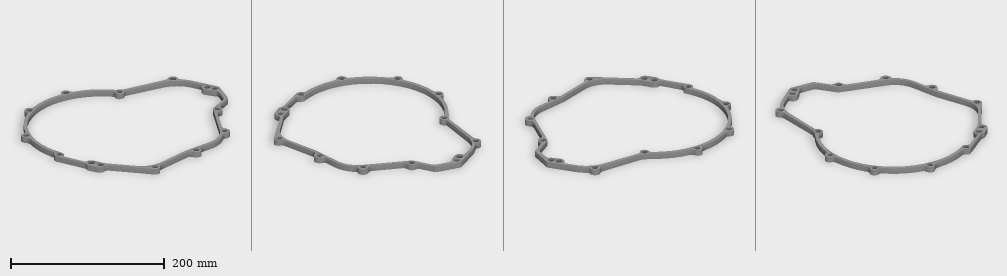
import math

import cadquery as cq


THICKNESS = 8.0

RING_CENTER = (-27.4, -21.65)
RING_INNER_RADIUS = 97.3
RING_OUTER_RADIUS = 102.1
RING_HOLLOW_RADIUS = 4.7
WIDE_RING_HOLLOW_RADIUS = 9.0

LEFT = (-130.1, -12.85)
LOWER_LEFT = (-110.8, -83.05)
BOTTOM_LEFT = (-52.2, -121.65)
BOTTOM_PAIR_A = (-4.8, -131.15)
BOTTOM_PAIR_B = (8.4, -132.65)
BOTTOM_RIGHT = (77.9, -115.75)
LOWER_RIGHT = (112.5, -51.55)
RIGHT = (129.6, 12.35)
UPPER_RIGHT = (100.5, 69.85)
TOP_PAIR_B = (77.8, 124.65)
TOP_PAIR_A = (67.2, 125.45)
TOP = (17.3, 133.75)
VALLEY = (-36.5, 76.05)
UPPER_LEFT = (-101.6, 50.65)

BOSS_RADIUS = 6.5
TOP_BOSS_RADIUS = 6.75
RIGHT_BOSS_RADIUS = 6.95
VALLEY_BOSS_RADIUS = 6.3
INNER_BOSS_RADIUS = 6.0

HOLES = {
    8.0: [
        LEFT, LOWER_LEFT, BOTTOM_LEFT, BOTTOM_PAIR_B, BOTTOM_RIGHT,
        LOWER_RIGHT, UPPER_RIGHT, TOP_PAIR_B, VALLEY, UPPER_LEFT,
    ],
    7.2: [RIGHT],
    8.5: [TOP],
    8.8: [TOP_PAIR_A, BOTTOM_PAIR_A],
}


def hollow(boss, boss_radius, angle, radius):
    """Centre of a hollow of the given radius that touches a boss at an angle in degrees."""
    reach = boss_radius + radius
    direction = math.radians(angle)
    return (boss[0] + reach * math.cos(direction), boss[1] + reach * math.sin(direction))


def touching_both(reach_ring, boss, reach_boss, side):
    """Point at set distances from the ring centre and a boss; side +1 is counterclockwise of the boss."""
    dx = boss[0] - RING_CENTER[0]
    dy = boss[1] - RING_CENTER[1]
    span = math.hypot(dx, dy)
    along = (reach_ring**2 - reach_boss**2 + span**2) / (2 * span)
    across = side * math.sqrt(reach_ring**2 - along**2)
    return (
        RING_CENTER[0] + (along * dx - across * dy) / span,
        RING_CENTER[1] + (along * dy + across * dx) / span,
    )


def ring_hollow(boss, boss_radius, side, radius=RING_HOLLOW_RADIUS):
    """Outer-edge arc that blends the ring into a boss."""
    center = touching_both(RING_OUTER_RADIUS + radius, boss, boss_radius + radius, side)
    return (center, -radius)


def outer_hollow(boss, boss_radius, angle, radius):
    """Outer-edge arc that blends a boss into a straight stretch."""
    return (hollow(boss, boss_radius, angle, radius), -radius)


def inner_hollow(boss, boss_radius, angle, radius):
    """Inner-edge arc that blends a boss into a straight stretch."""
    return (hollow(boss, boss_radius, angle, radius), radius)


def tangent_angle(arc, following):
    """Heading of the straight tangent that leaves one arc and enters the following one."""
    (x0, y0), r0 = arc
    (x1, y1), r1 = following
    offset = (r1 - r0) / math.hypot(x1 - x0, y1 - y0)
    return math.atan2(y1 - y0, x1 - x0) - math.asin(max(-1.0, min(1.0, offset)))


def point_on_arc(arc, heading):
    """Point of an arc where the edge runs along the given heading."""
    (x, y), radius = arc
    return (x + radius * math.sin(heading), y - radius * math.cos(heading))


def plate(arcs):
    """Solid plate bounded by a closed chain of arcs and their common tangents."""
    headings = [tangent_angle(arc, arcs[(i + 1) % len(arcs)]) for i, arc in enumerate(arcs)]
    start = point_on_arc(arcs[0], headings[-1])
    shortest_line = 0.01
    edge = cq.Workplane("XY").moveTo(*start)
    here = start
    for i, arc in enumerate(arcs):
        turn_sign = math.copysign(1.0, arc[1])
        turn = turn_sign * ((turn_sign * (headings[i] - headings[i - 1])) % math.tau)
        entry = point_on_arc(arc, headings[i - 1])
        if math.dist(here, entry) > shortest_line:
            edge = edge.lineTo(*entry)
        here = point_on_arc(arc, headings[i])
        edge = edge.threePointArc(point_on_arc(arc, headings[i - 1] + turn / 2), here)
    return edge.close().extrude(THICKNESS)


def outer_edge():
    right_bend = ((89.5, -5.05), 42.2)
    upper_right_corner = ((100.6, 102.65), 3.2)
    top_right_corner = ((80.3, 128.95), 2.5)
    top_bend = ((38.1, 97.15), 39.6)

    ring = (RING_CENTER, RING_OUTER_RADIUS)
    arcs = []
    for boss, leaving_radius in (
        (UPPER_LEFT, RING_HOLLOW_RADIUS),
        (LEFT, RING_HOLLOW_RADIUS),
        (LOWER_LEFT, WIDE_RING_HOLLOW_RADIUS),
    ):
        arcs += [
            ring,
            ring_hollow(boss, BOSS_RADIUS, -1),
            (boss, BOSS_RADIUS),
            ring_hollow(boss, BOSS_RADIUS, 1, leaving_radius),
        ]
    arcs += [ring, ring_hollow(BOTTOM_LEFT, BOSS_RADIUS, -1), (BOTTOM_LEFT, BOSS_RADIUS)]

    pad_left = (-6.3, -136.4)
    pad_left_radius = 2.6
    pad_right = (8.0, -133.95)
    pad_right_radius = 6.6
    arcs += [
        outer_hollow(pad_left, pad_left_radius, 213, 6.9),
        (pad_left, pad_left_radius),
        (pad_right, pad_right_radius),
        outer_hollow(pad_right, pad_right_radius, -10.5, 5.7),
    ]

    arcs += [
        (BOTTOM_RIGHT, BOSS_RADIUS),
        outer_hollow(BOTTOM_RIGHT, BOSS_RADIUS, 32.5, 6.5),
        outer_hollow(LOWER_RIGHT, RIGHT_BOSS_RADIUS, 255.4, 6.1),
        (LOWER_RIGHT, RIGHT_BOSS_RADIUS),
        outer_hollow(LOWER_RIGHT, RIGHT_BOSS_RADIUS, 44.5, 5.1),
        right_bend,
        outer_hollow(RIGHT, RIGHT_BOSS_RADIUS, -62.4, 4.0),
        (RIGHT, RIGHT_BOSS_RADIUS),
        outer_hollow(RIGHT, RIGHT_BOSS_RADIUS, 95.7, 6.5),
        outer_hollow(UPPER_RIGHT, BOSS_RADIUS, -40.9, 7.1),
        (UPPER_RIGHT, BOSS_RADIUS),
        outer_hollow(UPPER_RIGHT, BOSS_RADIUS, 60.2, 6.3),
    ]

    arcs += [
        upper_right_corner,
        top_right_corner,
        top_bend,
        outer_hollow(TOP, TOP_BOSS_RADIUS, 25.7, 1.7),
        (TOP, TOP_BOSS_RADIUS),
        outer_hollow(TOP, TOP_BOSS_RADIUS, 186.5, 6.9),
        outer_hollow(VALLEY, VALLEY_BOSS_RADIUS, 95.9, 6.4),
        (VALLEY, VALLEY_BOSS_RADIUS),
        ring_hollow(VALLEY, VALLEY_BOSS_RADIUS, 1),
    ]
    return arcs


def inner_edge():
    bottom_bend = ((11.8, -104.25), 22.5)
    bottom_right_bend = ((49.1, -86.45), 34.8)
    lower_right_kink = ((103.1, -61.65), -3.9)
    right_bend = ((90.7, -5.25), 36.7)
    upper_right_corner = ((91.0, 98.35), 7.8)
    top_bend = ((37.5, 91.55), 40.7)

    bottom_pair_radius = 6.9
    arcs = [
        (RING_CENTER, RING_INNER_RADIUS),
        (BOTTOM_LEFT, -INNER_BOSS_RADIUS),
        inner_hollow(BOTTOM_LEFT, INNER_BOSS_RADIUS, 2, 4.3),
        inner_hollow(BOTTOM_PAIR_A, bottom_pair_radius, 157.5, 3.7),
        (BOTTOM_PAIR_A, -bottom_pair_radius),
        bottom_bend,
    ]

    arcs += [
        bottom_right_bend,
        lower_right_kink,
        right_bend,
        (UPPER_RIGHT, -INNER_BOSS_RADIUS),
        upper_right_corner,
    ]

    top_pair_b_radius = 6.8
    top_pair_a_radius = 7.3
    ring_blend_radius = 3.3
    ring_blend_center = touching_both(
        RING_INNER_RADIUS - ring_blend_radius, VALLEY, VALLEY_BOSS_RADIUS + ring_blend_radius, 1
    )
    arcs += [
        inner_hollow(TOP_PAIR_B, top_pair_b_radius, -65.7, 4.6),
        (TOP_PAIR_B, -top_pair_b_radius),
        (TOP_PAIR_A, -top_pair_a_radius),
        inner_hollow(TOP_PAIR_A, top_pair_a_radius, 165.2, 2.2),
        top_bend,
        inner_hollow(VALLEY, VALLEY_BOSS_RADIUS, 20.2, 3.5),
        (VALLEY, -VALLEY_BOSS_RADIUS),
        (ring_blend_center, ring_blend_radius),
    ]
    return arcs


def drill_holes(body):
    for diameter, centers in HOLES.items():
        drills = cq.Workplane("XY").pushPoints(centers).circle(diameter / 2).extrude(THICKNESS)
        body = body.cut(drills)
    return body


result = drill_holes(plate(outer_edge()).cut(plate(inner_edge())))